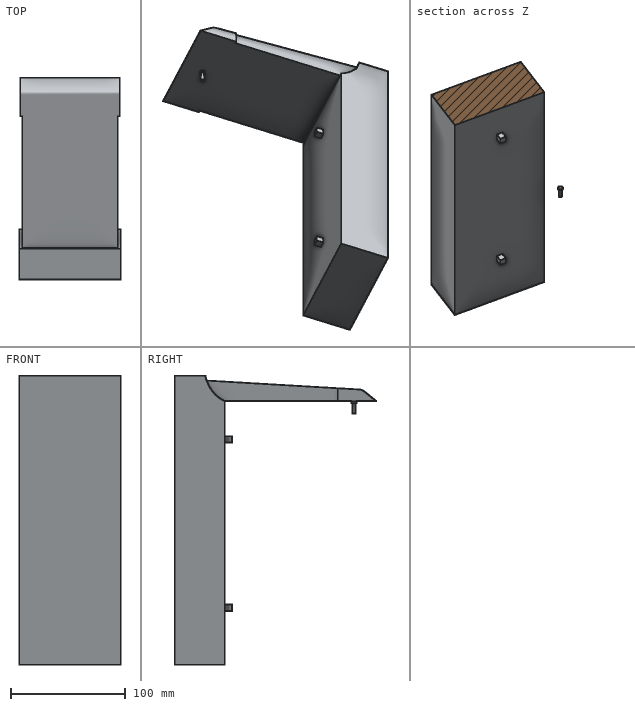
import cadquery as cq
import math


column_width = 88.63
column_height = 252.3
column_depth = 44.0
column_top_depth = 27.0
hollow_radius = 30.5

overall_depth = 176.17
arm_width = 83.4
arm_underside = column_height - 22.4
arm_root_top = column_height - 4.2
arm_slope = math.radians(3.35)

lip_width = 86.9
lip_length = 33.7
lip_bevel_length = 12.5
lip_round_radius = 8.0

pin_from_tip = 19.6
pin_diameter = 2.9
pin_length = 10.9
collar_diameter = 4.7
collar_length = 1.8

stud_side = 5.7
stud_length = 6.2
stud_heights = (49.8, 196.6)

overlap = 1.0


def extrude_across(profile, width):
    """Extrude a closed YZ profile symmetrically about X = 0."""
    return profile.extrude(width / 2, both=True)


def arm_top(y):
    """Height of the sloping top face of the arm at depth y."""
    return arm_root_top - (y - column_top_depth) * math.tan(arm_slope)


def hollow_midpoint():
    """Middle of the concave arc joining the column's rear face to its top."""
    chord_y = column_depth - column_top_depth
    chord_z = column_height - arm_underside
    chord = math.hypot(chord_y, chord_z)
    sagitta = hollow_radius - math.sqrt(hollow_radius**2 - (chord / 2) ** 2)
    mid_y = (column_depth + column_top_depth) / 2 - sagitta * chord_z / chord
    mid_z = (column_height + arm_underside) / 2 - sagitta * chord_y / chord
    return mid_y, mid_z


def make_column():
    profile = (
        cq.Workplane("YZ")
        .lineTo(column_depth, 0)
        .lineTo(column_depth, arm_underside)
        .threePointArc(hollow_midpoint(), (column_top_depth, column_height))
        .lineTo(0, column_height)
        .close()
    )
    return extrude_across(profile, column_width)


def make_arm():
    root_y = column_top_depth / 2
    lip_y = overall_depth - lip_length
    profile = (
        cq.Workplane("YZ")
        .moveTo(root_y, arm_underside)
        .lineTo(lip_y, arm_underside)
        .lineTo(lip_y, arm_top(lip_y))
        .lineTo(root_y, arm_top(root_y))
        .close()
    )
    return extrude_across(profile, arm_width)


def make_lip():
    inner_y = overall_depth - lip_length
    bevel_y = overall_depth - lip_bevel_length
    profile = (
        cq.Workplane("YZ")
        .moveTo(inner_y, arm_underside)
        .lineTo(overall_depth, arm_underside)
        .lineTo(bevel_y, arm_top(bevel_y))
        .lineTo(inner_y, arm_top(inner_y))
        .close()
    )
    lip = extrude_across(profile, lip_width)
    bevel_edge = cq.selectors.NearestToPointSelector((0, bevel_y, arm_top(bevel_y)))
    return lip.edges("|X").edges(bevel_edge).fillet(lip_round_radius)


def make_pin():
    base = cq.Workplane("XY", origin=(0, overall_depth - pin_from_tip, arm_underside + overlap))
    collar = base.circle(collar_diameter / 2).extrude(-(collar_length + overlap))
    shank = base.circle(pin_diameter / 2).extrude(-(pin_length + overlap))
    return collar.union(shank)


def make_stud(height):
    base = cq.Workplane("XZ", origin=(0, column_depth - overlap, height))
    return base.rect(stud_side, stud_side).extrude(-(stud_length + overlap))


body = make_column().union(make_arm()).union(make_lip()).union(make_pin())
for stud_height in stud_heights:
    body = body.union(make_stud(stud_height))

result = body